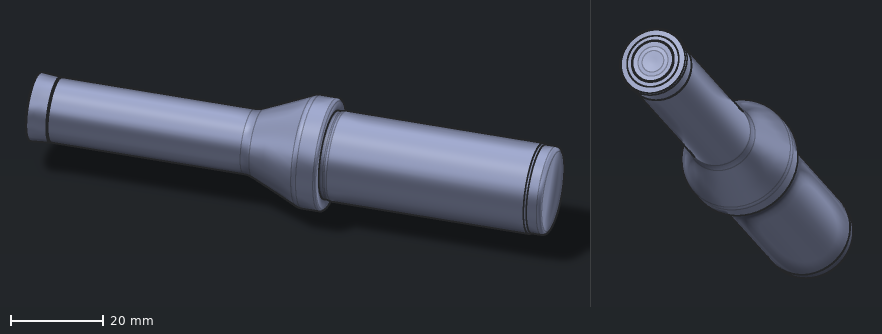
import cadquery as cq

TOTAL_LENGTH = 117.0
HEAD_LENGTH = 4.9
ROD_CHAMFER = 0.4
ROD_END = 48.5
CONE_START = 50.7
CONE_END = 61.4
FLANGE_START = 62.6
FLANGE_END = 67.0
FLANGE_ROUND = 0.6
NECK_END = 67.9
SHANK_CHAMFER_START = 68.2
SHANK_START = 68.8
SHANK_END = 113.3
TAIL_START = 113.8
TAIL_ROUND = 0.9

ROD_RADIUS = 14.4 / 2
FLANGE_RADIUS = 25.0 / 2
SHANK_RADIUS = 20.0 / 2
NECK_RADIUS = 19.5 / 2
SHANK_CHAMFER_RADIUS = 9.8
CONE_START_RADIUS = 7.6
CONE_END_RADIUS = 12.3

HEAD_FRONT_RADIUS = 15.2 / 2
HEAD_BACK_RADIUS = 7.3
HEAD_CHAMFER_LENGTH = 0.6
HEAD_FACE_RADIUS = 7.3

RIM_INNER_RADIUS = 5.8
BOSS_BASE_RADIUS = 4.8
BOSS_TOP_RADIUS = 4.6
GROOVE_RADIUS = 3.4
DIMPLE_RADIUS = 2.5
FACE_SLOPE = 0.05
BOSS_STEP = 0.1
RIM_STEP = 0.06


def revolve_about_x(profile):
    """Revolve a closed (x, radius) profile a full turn about the X axis."""
    return profile.close().revolve(360, (0, 0, 0), (1, 0, 0))


def make_head():
    """Tapered cutting head with a chamfered rim and stepped rings on its face."""
    groove_depth = FACE_SLOPE * (BOSS_TOP_RADIUS - GROOVE_RADIUS)
    dimple_rim_depth = groove_depth - FACE_SLOPE * (GROOVE_RADIUS - DIMPLE_RADIUS)
    dimple_depth = dimple_rim_depth + FACE_SLOPE * DIMPLE_RADIUS
    rim_inner_depth = BOSS_STEP + FACE_SLOPE * (RIM_INNER_RADIUS - BOSS_BASE_RADIUS)
    rim_step_depth = rim_inner_depth + RIM_STEP
    rim_outer_depth = rim_step_depth + FACE_SLOPE * (HEAD_FACE_RADIUS - RIM_INNER_RADIUS)
    profile = (
        cq.Workplane("XY")
        .moveTo(dimple_depth, 0)
        .lineTo(dimple_rim_depth, DIMPLE_RADIUS)
        .lineTo(groove_depth, GROOVE_RADIUS)
        .lineTo(0, BOSS_TOP_RADIUS)
        .lineTo(BOSS_STEP, BOSS_BASE_RADIUS)
        .lineTo(rim_inner_depth, RIM_INNER_RADIUS)
        .lineTo(rim_step_depth, RIM_INNER_RADIUS)
        .lineTo(rim_outer_depth, HEAD_FACE_RADIUS)
        .lineTo(HEAD_CHAMFER_LENGTH, HEAD_FRONT_RADIUS)
        .lineTo(HEAD_LENGTH, HEAD_BACK_RADIUS)
        .lineTo(HEAD_LENGTH, 0)
    )
    return revolve_about_x(profile)


def make_holder():
    """Rod, flared cone, flange and relieved shank turned from one bar."""
    profile = (
        cq.Workplane("XY")
        .moveTo(HEAD_LENGTH, 0)
        .lineTo(HEAD_LENGTH, ROD_RADIUS - ROD_CHAMFER)
        .lineTo(HEAD_LENGTH + ROD_CHAMFER, ROD_RADIUS)
        .lineTo(ROD_END, ROD_RADIUS)
        .tangentArcPoint((CONE_START, CONE_START_RADIUS), relative=False)
        .lineTo(CONE_END, CONE_END_RADIUS)
    )
    profile = (
        profile
        .tangentArcPoint((FLANGE_START, FLANGE_RADIUS), relative=False)
        .lineTo(FLANGE_END - FLANGE_ROUND, FLANGE_RADIUS)
        .tangentArcPoint((FLANGE_END, FLANGE_RADIUS - FLANGE_ROUND), relative=False)
        .lineTo(FLANGE_END, NECK_RADIUS)
    )
    profile = (
        profile
        .lineTo(NECK_END, NECK_RADIUS)
        .lineTo(SHANK_CHAMFER_START, SHANK_CHAMFER_RADIUS)
        .lineTo(SHANK_START, SHANK_RADIUS)
        .lineTo(SHANK_END, SHANK_RADIUS)
        .lineTo(TAIL_START, NECK_RADIUS)
        .lineTo(TOTAL_LENGTH - TAIL_ROUND, NECK_RADIUS)
        .tangentArcPoint((TOTAL_LENGTH, NECK_RADIUS - TAIL_ROUND), relative=False)
        .lineTo(TOTAL_LENGTH, 0)
    )
    return revolve_about_x(profile)


head = make_head()
holder = make_holder()

result = cq.Compound.makeCompound([head.val(), holder.val()])